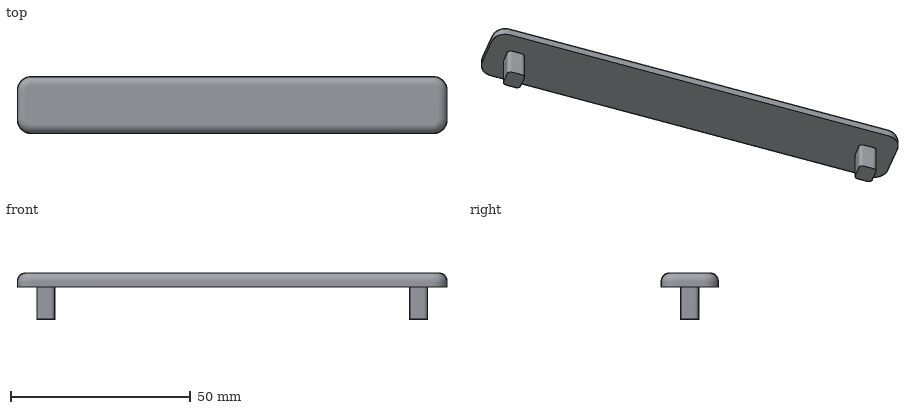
import cadquery as cq

plate_length = 120.0
plate_width = 16.0
plate_thickness = 4.0
plate_corner_radius = 4.0
top_edge_radius = 2.4

total_height = 13.0
post_height = total_height - plate_thickness
post_side = 5.0
post_corner_radius = 1.0
post_spacing = 104.0


def make_plate():
    """Plate with rounded corners and a rounded top rim; its underside is at Z = 0."""
    return (
        cq.Workplane("XY")
        .box(plate_length, plate_width, plate_thickness, centered=(True, True, False))
        .edges("|Z")
        .fillet(plate_corner_radius)
        .faces(">Z")
        .edges()
        .fillet(top_edge_radius)
    )


def make_post(center_x):
    """Square post with rounded upright edges, hanging down from the plate."""
    return (
        cq.Workplane("XY")
        .center(center_x, 0)
        .rect(post_side, post_side)
        .extrude(-post_height)
        .edges("|Z")
        .fillet(post_corner_radius)
    )


result = make_plate()
for side in (-1, 1):
    result = result.union(make_post(side * post_spacing / 2))